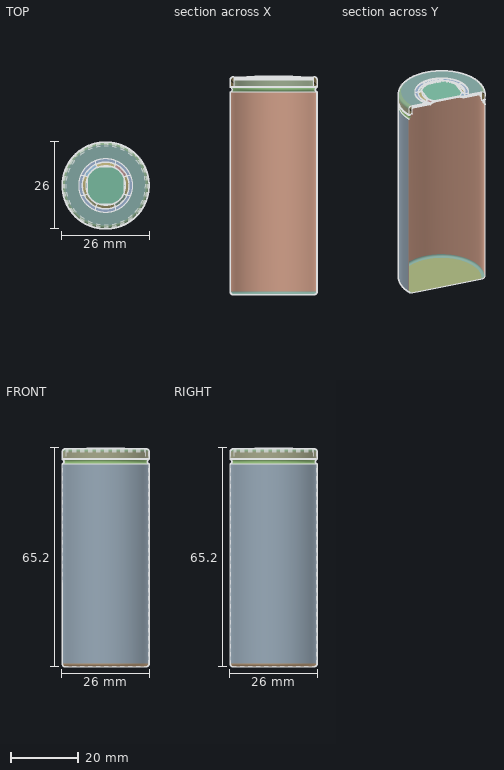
import cadquery as cq
import math

can_radius = 13.0
can_height = 65.0
wall = 0.2
bend_radius = 1.0
mouth_radius = 8.0
arc_middle = math.sqrt(0.5)

groove_center_z = 61.1
groove_half_width = 0.7
groove_depth = 0.5
groove_lip_radius = 0.2

gasket_radius = can_radius - wall
gasket_bore_radius = 11.8
gasket_mouth_radius = 7.0
gasket_lip = 0.2
gasket_top = can_height - wall
gasket_bottom = 62.0

sheet = 0.3
cap_top = 65.2
flange_top = gasket_top - gasket_lip
dome_rise = cap_top - flange_top
dome_top_radius = 6.0
dome_base_radius = 7.0
dome_slope = math.atan2(dome_rise, dome_base_radius - dome_top_radius)
sheet_shift = sheet * math.tan(dome_slope / 2)

notch_width = 6.0
notch_start = 5.45


def revolved(profile):
    return profile.revolve(360, (0, 0, 0), (0, 1, 0))


def can_body(inset):
    """Solid of revolution inside the can's outer surface, moved inward by inset."""
    radius = can_radius - inset
    top = can_height - inset
    bend = bend_radius - inset
    corner = bend * (1 - arc_middle)
    return revolved(
        cq.Workplane("XZ")
        .moveTo(0, inset)
        .lineTo(radius - bend, inset)
        .threePointArc((radius - corner, inset + corner), (radius, inset + bend))
        .lineTo(radius, groove_center_z - groove_half_width)
        .threePointArc(
            (radius - groove_depth, groove_center_z),
            (radius, groove_center_z + groove_half_width),
        )
        .lineTo(radius, top - bend)
        .threePointArc((radius - corner, top - corner), (radius - bend, top))
        .lineTo(0, top)
        .close()
    )


def make_can():
    """Thin can with a closed base and a rim folded inward around the mouth."""
    mouth = cq.Workplane("XY").workplane(offset=gasket_top).circle(mouth_radius).extrude(wall)
    outside = can_body(0)
    for lip_z in (groove_center_z - groove_half_width, groove_center_z + groove_half_width):
        nearest_edge = cq.selectors.NearestToPointSelector((0, 0, lip_z))
        outside = outside.edges("%CIRCLE").edges(nearest_edge).fillet(groove_lip_radius)
    return outside.cut(can_body(wall)).cut(mouth)


def make_gasket():
    """Ring with an L section: a sleeve inside the can wall and a thin lip under the rim."""
    bend = bend_radius - wall
    corner = bend * (1 - arc_middle)
    return revolved(
        cq.Workplane("XZ")
        .moveTo(gasket_mouth_radius, gasket_top)
        .lineTo(gasket_radius - bend, gasket_top)
        .threePointArc(
            (gasket_radius - corner, gasket_top - corner),
            (gasket_radius, gasket_top - bend),
        )
        .lineTo(gasket_radius, gasket_bottom)
        .lineTo(gasket_bore_radius, gasket_bottom)
        .lineTo(gasket_bore_radius, flange_top)
        .lineTo(gasket_mouth_radius, flange_top)
        .close()
    )


def domed_sheet(layer):
    """Formed disc with a flat flange, conical rise and flat centre; layer 0 is on top."""
    upper_z = flange_top - layer * sheet
    upper_shift = layer * sheet_shift
    lower_z = upper_z - sheet
    lower_shift = upper_shift + sheet_shift
    return revolved(
        cq.Workplane("XZ")
        .moveTo(0, lower_z + dome_rise)
        .lineTo(dome_top_radius - lower_shift, lower_z + dome_rise)
        .lineTo(dome_base_radius - lower_shift, lower_z)
        .lineTo(gasket_bore_radius, lower_z)
        .lineTo(gasket_bore_radius, upper_z)
        .lineTo(dome_base_radius - upper_shift, upper_z)
        .lineTo(dome_top_radius - upper_shift, upper_z + dome_rise)
        .lineTo(0, upper_z + dome_rise)
        .close()
    )


def make_cap():
    """Top contact with a notch in each of its four sides, narrowing up the cone."""
    half_width = notch_width / 2
    inner_half_width = math.sqrt(dome_top_radius**2 - notch_start**2)
    shoulder = math.sqrt(dome_base_radius**2 - half_width**2)
    notch_end = math.sqrt(mouth_radius**2 - half_width**2)
    notch = (
        cq.Workplane("XY")
        .workplane(offset=flange_top - sheet)
        .moveTo(notch_start, -inner_half_width)
        .lineTo(shoulder, -half_width)
        .lineTo(notch_end, -half_width)
        .threePointArc((mouth_radius, 0), (notch_end, half_width))
        .lineTo(shoulder, half_width)
        .lineTo(notch_start, inner_half_width)
        .close()
        .extrude(sheet + dome_rise)
    )
    cap = domed_sheet(0)
    for side in range(4):
        cap = cap.cut(notch.rotate((0, 0, 0), (0, 0, 1), 90 * side))
    return cap


def make_vent_plate():
    """Unbroken sheet that closes the cell directly under the cap."""
    return domed_sheet(1)


can = make_can()
gasket = make_gasket()
cap = make_cap()
vent_plate = make_vent_plate()

result = cq.Compound.makeCompound([can.val(), gasket.val(), cap.val(), vent_plate.val()])